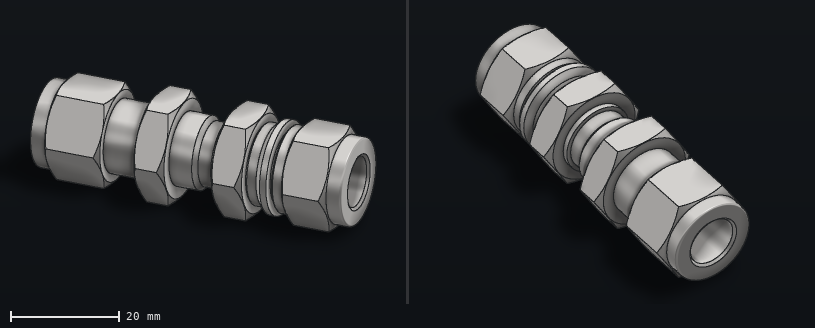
import cadquery as cq
import math

length = 62.5

cap_dia = 17.0
body_dia = 14.25
groove_dia = 12.5
collar_dia = 15.8
washer_dia = 18.25
ring_dia = 16.8

cap_nut_flats = 17.5
lock_nut_flats = 19.1
lock_nut_face_dia = 18.95
lock_nut_width = 6.05
hex_sides = 6
hex_chamfer_angle = math.radians(30)

cap_length = 3.0
left_cap_nut_end = 14.2
left_lock_nut_start = 21.3
body_end = 32.8
groove_end = 35.75
right_lock_nut_start = 36.9
washer_cone_start = 45.2
washer_end = 47.7
ring_start = 48.4
right_cap_nut_start = 50.5

cap_fillet = 0.45
groove_chamfer = (body_dia - groove_dia) / 2
collar_chamfer = 0.4
ring_chamfer = 0.3

bore_dia = 7.1
socket_dia = 9.75
socket_depth = 15.0
socket_chamfer = 0.5


def revolve_profile(profile):
    """Revolve (station, diameter) points, closed along the axis, about X."""
    start = profile[0][0]
    end = profile[-1][0]
    outline = [(start, 0)]
    outline += [(station, diameter / 2) for station, diameter in profile]
    outline += [(end, 0)]
    return cq.Workplane("XY").polyline(outline).close().revolve(360, (0, 0, 0), (1, 0, 0))


def cylinder(start, end, diameter):
    return revolve_profile([(start, diameter), (end, diameter)])


def hex_nut(start, end, flats, start_face_dia, end_face_dia):
    """Hexagon with flats facing +Z and -Z, its corners turned down by a cone at each end."""
    corners_dia = flats / math.cos(math.pi / hex_sides)
    prism = cq.Workplane("YZ").workplane(offset=start).polygon(hex_sides, corners_dia).extrude(end - start)
    start_cone = (corners_dia - start_face_dia) / 2 * math.tan(hex_chamfer_angle)
    end_cone = (corners_dia - end_face_dia) / 2 * math.tan(hex_chamfer_angle)
    envelope = revolve_profile([
        (start, start_face_dia),
        (start + start_cone, corners_dia),
        (end - end_cone, corners_dia),
        (end, end_face_dia),
    ])
    return prism.intersect(envelope)


def lock_nut(start):
    end = start + lock_nut_width
    return hex_nut(start, end, lock_nut_flats, lock_nut_face_dia, lock_nut_face_dia)


right_lock_nut_end = right_lock_nut_start + lock_nut_width
washer_cone_end = washer_cone_start + (washer_dia - collar_dia) / 2
body = revolve_profile([
    (cap_length, body_dia),
    (body_end - groove_chamfer, body_dia),
    (body_end, groove_dia),
    (groove_end, groove_dia),
    (groove_end, body_dia),
    (right_lock_nut_end, body_dia),
    (right_lock_nut_end, collar_dia - 2 * collar_chamfer),
    (right_lock_nut_end + collar_chamfer, collar_dia),
    (washer_cone_start, collar_dia),
    (washer_cone_end, washer_dia),
    (washer_end, washer_dia),
    (washer_end, body_dia),
    (ring_start, body_dia),
    (ring_start, ring_dia - 2 * ring_chamfer),
    (ring_start + ring_chamfer, ring_dia),
    (right_cap_nut_start, ring_dia),
    (length - cap_length, ring_dia),
])

left_cap = cylinder(0, cap_length, cap_dia).faces("<X").edges().fillet(cap_fillet)
right_cap = cylinder(length - cap_length, length, cap_dia).faces(">X").edges().fillet(cap_fillet)

left_cap_nut = hex_nut(cap_length, left_cap_nut_end, cap_nut_flats, cap_dia, cap_nut_flats)
right_cap_nut = hex_nut(right_cap_nut_start, length - cap_length, cap_nut_flats, ring_dia, cap_dia)

fitting = body
for piece in (
    left_cap,
    right_cap,
    left_cap_nut,
    right_cap_nut,
    lock_nut(left_lock_nut_start),
    lock_nut(right_lock_nut_start),
):
    fitting = fitting.union(piece)

mouth_dia = socket_dia + 2 * socket_chamfer
passage = revolve_profile([
    (0, mouth_dia),
    (socket_chamfer, socket_dia),
    (socket_depth, socket_dia),
    (socket_depth, bore_dia),
    (length - socket_depth, bore_dia),
    (length - socket_depth, socket_dia),
    (length - socket_chamfer, socket_dia),
    (length, mouth_dia),
])

result = fitting.cut(passage).translate((-length / 2, 0, 0))